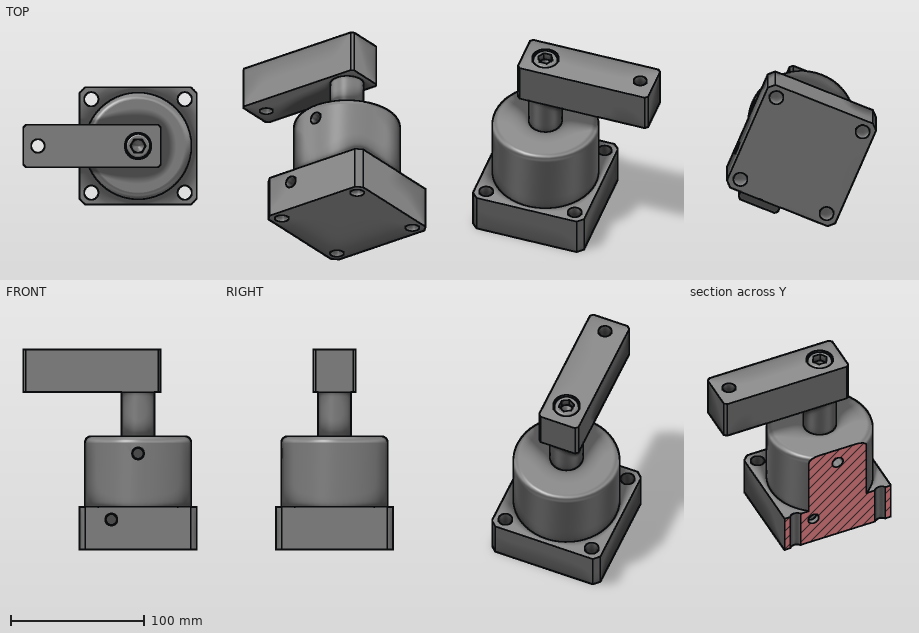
import cadquery as cq


FLANGE_SIDE = 88.0
FLANGE_HEIGHT = 32.0
FLANGE_CORNER_DIAMETER = 118.3
MOUNT_HOLE_DIAMETER = 10.5
MOUNT_HOLE_SPACING = 70.0
CYLINDER_DIAMETER = 80.0
HOUSING_HEIGHT = 85.0
CYLINDER_TOP_FILLET = 5.0

PORT_MOUTH_DIAMETER = 9.1
PORT_DEPTH = 16.0
PORT_TAPER = 1 / 16
PORT_FLOOR_DIAMETER = PORT_MOUTH_DIAMETER - PORT_TAPER * PORT_DEPTH
PORT_A_X = 0.0
PORT_A_Z = 72.0
PORT_B_X = -20.0
PORT_B_Z = 22.5

ARM_WIDTH = 32.0
ARM_HEIGHT = 32.0
ARM_TIP_X = -86.0
ARM_HEEL_X = 17.0
ARM_CORNER_CHAMFER = 2.0
ARM_TOP_Z = 150.0
ARM_BOTTOM_Z = ARM_TOP_Z - ARM_HEIGHT
TIP_HOLE_X = -75.0
TIP_HOLE_DIAMETER = 10.0

ROD_DIAMETER = 25.0

HEAD_DIAMETER = 18.0
HEAD_HEIGHT = 12.0
HEAD_FILLET = 1.5
COUNTERBORE_DIAMETER = 20.0
SHANK_DIAMETER = 12.0
SHANK_END_Z = ARM_BOTTOM_Z - 20.0
HEAD_SEAT_Z = ARM_TOP_Z - HEAD_HEIGHT
SOCKET_ACROSS_FLATS = 10.0
SOCKET_DEPTH = 6.0
HEXAGON_CORNER_RATIO = 2 / 3 ** 0.5
SOCKET_CONE_HEIGHT = 2.5


def upright_cylinder(diameter, bottom_z, top_z):
    """Round bar on the Z axis."""
    return cq.Workplane("XY").workplane(offset=bottom_z).circle(diameter / 2).extrude(top_z - bottom_z)


def port_cutter(x, z, face_y):
    """Flat-bottomed tapered port, bored toward +Y from the plane Y = face_y."""
    return cq.Workplane(
        cq.Solid.makeCone(
            PORT_MOUTH_DIAMETER / 2,
            PORT_FLOOR_DIAMETER / 2,
            PORT_DEPTH,
            pnt=cq.Vector(x, face_y, z),
            dir=cq.Vector(0, 1, 0),
        )
    )


def make_housing():
    square_block = cq.Workplane("XY").rect(FLANGE_SIDE, FLANGE_SIDE).extrude(FLANGE_HEIGHT)
    flange = square_block.intersect(upright_cylinder(FLANGE_CORNER_DIAMETER, 0, FLANGE_HEIGHT))
    mount_holes = (
        cq.Workplane("XY")
        .rect(MOUNT_HOLE_SPACING, MOUNT_HOLE_SPACING, forConstruction=True)
        .vertices()
        .circle(MOUNT_HOLE_DIAMETER / 2)
        .extrude(FLANGE_HEIGHT)
    )
    cylinder = (
        upright_cylinder(CYLINDER_DIAMETER, 0, HOUSING_HEIGHT)
        .faces(">Z")
        .edges()
        .fillet(CYLINDER_TOP_FILLET)
    )
    housing = flange.cut(mount_holes).union(cylinder)
    port_a = port_cutter(PORT_A_X, PORT_A_Z, -CYLINDER_DIAMETER / 2)
    port_b = port_cutter(PORT_B_X, PORT_B_Z, -FLANGE_SIDE / 2)
    return housing.cut(port_a).cut(port_b)


def make_rod():
    rod = upright_cylinder(ROD_DIAMETER, HOUSING_HEIGHT, ARM_BOTTOM_Z)
    return rod.cut(upright_cylinder(SHANK_DIAMETER, SHANK_END_Z, ARM_BOTTOM_Z))


def make_arm():
    arm = (
        cq.Workplane("XY")
        .workplane(offset=ARM_BOTTOM_Z)
        .center((ARM_TIP_X + ARM_HEEL_X) / 2, 0)
        .rect(ARM_HEEL_X - ARM_TIP_X, ARM_WIDTH)
        .extrude(ARM_HEIGHT)
        .edges("|Z")
        .chamfer(ARM_CORNER_CHAMFER)
    )
    tip_hole = upright_cylinder(TIP_HOLE_DIAMETER, ARM_BOTTOM_Z, ARM_TOP_Z).translate((TIP_HOLE_X, 0, 0))
    counterbore = upright_cylinder(COUNTERBORE_DIAMETER, HEAD_SEAT_Z, ARM_TOP_Z)
    shank_hole = upright_cylinder(SHANK_DIAMETER, ARM_BOTTOM_Z, HEAD_SEAT_Z)
    return arm.cut(tip_hole).cut(counterbore).cut(shank_hole)


def make_screw():
    head = (
        upright_cylinder(HEAD_DIAMETER, HEAD_SEAT_Z, ARM_TOP_Z)
        .faces(">Z")
        .edges()
        .fillet(HEAD_FILLET)
    )
    shank = upright_cylinder(SHANK_DIAMETER, SHANK_END_Z, HEAD_SEAT_Z)
    socket_floor_z = ARM_TOP_Z - SOCKET_DEPTH
    socket = (
        cq.Workplane("XY")
        .workplane(offset=socket_floor_z)
        .polygon(6, SOCKET_ACROSS_FLATS * HEXAGON_CORNER_RATIO)
        .extrude(SOCKET_DEPTH)
    )
    socket_cone = cq.Workplane(
        cq.Solid.makeCone(
            0,
            SOCKET_ACROSS_FLATS / 2,
            SOCKET_CONE_HEIGHT,
            pnt=cq.Vector(0, 0, socket_floor_z - SOCKET_CONE_HEIGHT),
        )
    )
    return head.union(shank).cut(socket).cut(socket_cone)


housing = make_housing()
rod = make_rod()
arm = make_arm()
screw = make_screw()

result = cq.Compound.makeCompound([housing.val(), rod.val(), arm.val(), screw.val()])